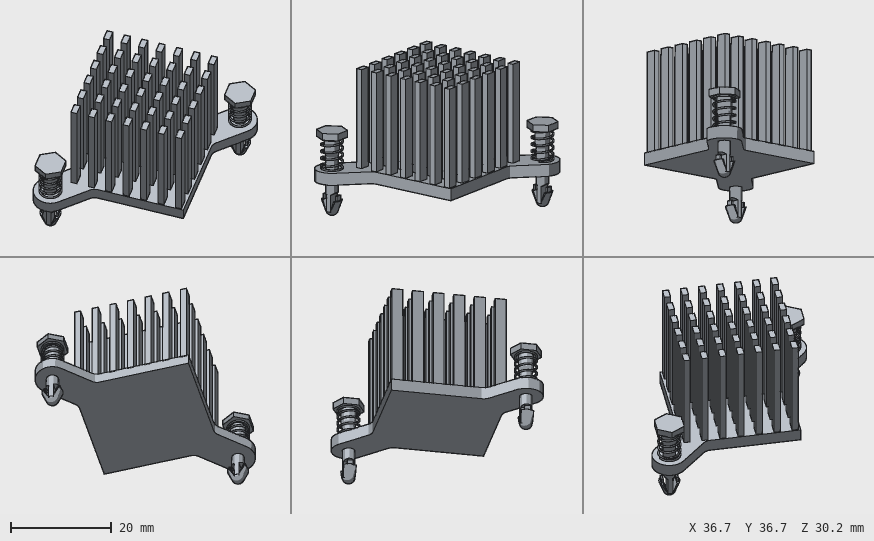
import cadquery as cq
import math


base_length_x = 24.0
base_width_y = 23.55
base_offset_x = -0.22
base_thickness = 2.5
arm_end_radius = 3.45
overall_span = 36.7
pin_offset = overall_span / 2 - arm_end_radius
arm_root_fillet = 2.0

fin_columns = 7
fin_rows = 6
fin_pitch_x = 3.65
fin_pitch_y = 4.2
fin_size_x = 1.25
fin_size_y = 2.2
fin_height = 20.5

head_across_flats = 5.43
head_thickness = 1.4
head_seat_height = 6.57
upper_shank_radius = 1.5
shank_radius = 1.25
upper_shank_bottom_height = 3.5
shank_taper_bottom_height = 2.57

tip_depth = 7.23
dome_start_depth = 6.28
barb_top_depth = 3.93
barb_radius = 2.1
barb_inner_x = 1.32
web_thickness = 1.0
web_top_depth = 2.8
shank_end_depth = 2.28
tab_top_depth = 2.9
tab_thickness = 0.4
tab_width = 1.2

wire_diameter = 0.33
spring_outer_radius = 2.3
spring_pitch = 1.43
closed_coil_angle = 250.0
coil_step_angle = 10.0
rise_blend_angle = 30.0

base_top = base_thickness
head_seat_z = base_top + head_seat_height
pin_centers = [(-pin_offset, -pin_offset), (pin_offset, pin_offset)]
spring_start_angles = [0.0, -90.0]


def make_base():
    base = (
        cq.Workplane("XY")
        .center(base_offset_x, 0)
        .rect(base_length_x, base_width_y)
        .extrude(base_thickness)
    )
    arm_center_distance = 2 * math.hypot(pin_offset, pin_offset)
    arms = (
        cq.Workplane("XY")
        .transformed(rotate=(0, 0, 45))
        .slot2D(arm_center_distance + 2 * arm_end_radius, 2 * arm_end_radius)
        .extrude(base_thickness)
    )
    base = base.union(arms)

    side_shift = arm_end_radius * math.sqrt(2)
    half_y = base_width_y / 2
    left_x = base_offset_x - base_length_x / 2
    right_x = base_offset_x + base_length_x / 2
    arm_roots = [
        (left_x, left_x + side_shift),
        (-half_y + side_shift, -half_y),
        (right_x, right_x - side_shift),
        (half_y - side_shift, half_y),
    ]
    for x, y in arm_roots:
        root_edge = cq.selectors.NearestToPointSelector((x, y, base_thickness / 2))
        base = base.edges(root_edge).fillet(arm_root_fillet)
    return base


def make_heat_sink():
    fins = (
        cq.Workplane("XY", origin=(base_offset_x, 0, base_top))
        .rarray(fin_pitch_x, fin_pitch_y, fin_columns, fin_rows)
        .rect(fin_size_x, fin_size_y)
        .extrude(fin_height)
    )
    pin_holes = cq.Workplane("XY").pushPoints(pin_centers).circle(shank_radius).extrude(base_thickness)
    return make_base().union(fins).cut(pin_holes)


def make_pin_core():
    """Round shank with its taper and domed end, turned about Z."""
    dome_height = tip_depth - dome_start_depth
    dome_sphere_radius = (shank_radius**2 + dome_height**2) / (2 * dome_height)
    dome_half_angle = math.asin(shank_radius / dome_sphere_radius) / 2
    dome_mid_x = dome_sphere_radius * math.sin(dome_half_angle)
    dome_mid_z = -tip_depth + dome_sphere_radius * (1 - math.cos(dome_half_angle))
    return (
        cq.Workplane("XZ")
        .moveTo(0, head_seat_z)
        .lineTo(upper_shank_radius, head_seat_z)
        .lineTo(upper_shank_radius, base_top + upper_shank_bottom_height)
        .lineTo(shank_radius, base_top + shank_taper_bottom_height)
        .lineTo(shank_radius, -dome_start_depth)
        .threePointArc((dome_mid_x, dome_mid_z), (0, -tip_depth))
        .close()
        .revolve(360, (0, 0), (0, 1))
    )


def make_barb_cone():
    """Cone that widens upward from the dome, trimmed to the shank width in Y and split by the web."""
    cone_height = dome_start_depth - barb_top_depth
    cone = cq.Workplane(
        cq.Solid.makeCone(shank_radius, barb_radius, cone_height, pnt=cq.Vector(0, 0, -dome_start_depth))
    )
    trim = (
        cq.Workplane("XY", origin=(0, 0, -dome_start_depth))
        .rect(2 * barb_radius, 2 * shank_radius)
        .extrude(cone_height)
    )
    web_split = (
        cq.Workplane("XY", origin=(0, 0, -dome_start_depth))
        .rect(web_thickness, 2 * barb_radius)
        .extrude(cone_height)
    )
    return cone.intersect(trim).cut(web_split)


def make_barb_gap():
    """Gap on the +X side between the central web and the springy barb."""
    web_x = web_thickness / 2
    shoulder_slope = (web_top_depth - shank_end_depth) / (shank_radius - web_x)
    shoulder_end_depth = web_top_depth - shoulder_slope * (barb_inner_x - web_x)
    gap_outline = [
        (web_x, -web_top_depth),
        (web_x, -dome_start_depth),
        (barb_inner_x, -barb_top_depth),
        (barb_inner_x, -shoulder_end_depth),
    ]
    return cq.Workplane("XZ").polyline(gap_outline).close().extrude(barb_radius, both=True)


def make_barb_tab():
    """Upright tab on top of the +X barb."""
    return (
        cq.Workplane("XY", origin=(barb_inner_x + tab_thickness / 2, 0, -barb_top_depth))
        .rect(tab_thickness, tab_width)
        .extrude(barb_top_depth - tab_top_depth)
    )


def make_pin():
    head_across_corners = head_across_flats / math.cos(math.radians(30))
    head = (
        cq.Workplane("XY", origin=(0, 0, head_seat_z))
        .transformed(rotate=(0, 0, 90))
        .polygon(6, head_across_corners)
        .extrude(head_thickness)
    )
    pin = make_pin_core().union(head).union(make_barb_cone())
    gap = make_barb_gap()
    tab = make_barb_tab()
    for side_angle in (0, 180):
        pin = pin.cut(gap.rotate((0, 0, 0), (0, 0, 1), side_angle))
        pin = pin.union(tab.rotate((0, 0, 0), (0, 0, 1), side_angle))
    return pin


def eased_ramp(angle):
    """Angle above zero, with the corner at zero replaced by a parabola."""
    if angle <= -rise_blend_angle:
        return 0
    if angle >= rise_blend_angle:
        return angle
    return (angle + rise_blend_angle) ** 2 / (4 * rise_blend_angle)


def make_spring():
    """Spring whose coil leaves the lower closed coil near +X, centered on Z."""
    coil_radius = spring_outer_radius - wire_diameter / 2
    coil_rise = head_seat_height - wire_diameter
    rising_angle = 360 * coil_rise / spring_pitch
    total_angle = rising_angle + 2 * closed_coil_angle
    step_count = round(total_angle / coil_step_angle)

    def coil_point(step):
        angle = total_angle * step / step_count - closed_coil_angle
        rise = spring_pitch / 360 * (eased_ramp(angle) - eased_ramp(angle - rising_angle))
        return (
            coil_radius * math.cos(math.radians(angle)),
            coil_radius * math.sin(math.radians(angle)),
            base_top + wire_diameter / 2 + rise,
        )

    centerline = cq.Edge.makeSpline([cq.Vector(*coil_point(step)) for step in range(step_count + 1)])
    wire_end = cq.Plane(origin=centerline.startPoint(), normal=centerline.tangentAt(0))
    return (
        cq.Workplane(wire_end)
        .circle(wire_diameter / 2)
        .sweep(cq.Workplane(cq.Wire.assembleEdges([centerline])), isFrenet=True)
    )


heat_sink = make_heat_sink()

pins = cq.Workplane("XY")
springs = cq.Workplane("XY")
for (pin_x, pin_y), start_angle in zip(pin_centers, spring_start_angles):
    pins.add(make_pin().translate((pin_x, pin_y, 0)).val())
    spring = make_spring().rotate((0, 0, 0), (0, 0, 1), start_angle)
    springs.add(spring.translate((pin_x, pin_y, 0)).val())

result = cq.Compound.makeCompound([heat_sink.val(), *pins.vals(), *springs.vals()])